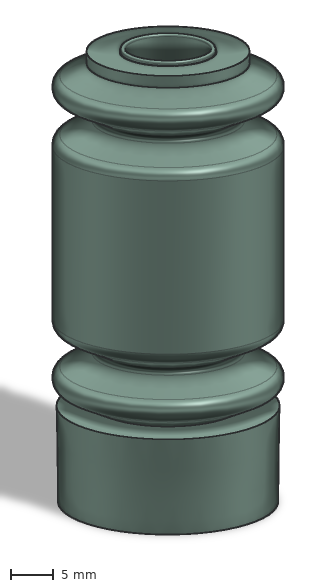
import cadquery as cq
import math

TOTAL_HEIGHT = 55.5
COLLAR_HEIGHT = 11.7
COLLAR_TOP_RISE = 0.2
FLANGE_TOP = 55.0
FLANGE_HEIGHT = 1.45
TUBE_RECESS_DEPTH = 0.1

BODY_DIAMETER = 27.0
COLLAR_DIAMETER = 26.0
COLLAR_FOOT_DIAMETER = 25.7
FLANGE_DIAMETER = 19.0
TUBE_DIAMETER = 11.1
TUBE_RECESS_DIAMETER = 11.3
BORE_DIAMETER = 10.0
SIDE_HOLE_DIAMETER = 8.5

FLANK_ANGLE = 25.5
CREST_RADIUS = 1.5
ROOT_RADIUS = 0.5
NECK_DIAMETER = 17.25
LOWER_RING_Z = 15.12
UPPER_RING_Z = 50.65

SIDE_HOLE_Z = 6.75

BODY_RADIUS = BODY_DIAMETER / 2
NECK_RADIUS = NECK_DIAMETER / 2
FLANK_SLOPE = math.tan(math.radians(FLANK_ANGLE))
NORMAL_X = math.sin(math.radians(FLANK_ANGLE))
NORMAL_Z = math.cos(math.radians(FLANK_ANGLE))

CREST_CENTRE_R = BODY_RADIUS - CREST_RADIUS
CREST_TANGENT_R = CREST_CENTRE_R + CREST_RADIUS * NORMAL_X
CREST_TANGENT_DZ = CREST_RADIUS * NORMAL_Z
ROOT_TANGENT_R = NECK_RADIUS + ROOT_RADIUS * (1 - NORMAL_X)
ROOT_TANGENT_DZ = ROOT_RADIUS * NORMAL_Z

ROOT_TO_CREST = ROOT_TANGENT_DZ + (CREST_TANGENT_R - ROOT_TANGENT_R) * FLANK_SLOPE + CREST_TANGENT_DZ


def add_ring(profile, ring_z):
    """Rounded ring crest, drawn upward after the flank below it."""
    return (
        profile.lineTo(CREST_TANGENT_R, ring_z - CREST_TANGENT_DZ)
        .threePointArc((BODY_RADIUS, ring_z), (CREST_TANGENT_R, ring_z + CREST_TANGENT_DZ))
    )


def add_groove(profile, root_z):
    """Inward flank and rounded groove root, drawn upward."""
    return (
        profile.lineTo(ROOT_TANGENT_R, root_z - ROOT_TANGENT_DZ)
        .threePointArc((NECK_RADIUS, root_z), (ROOT_TANGENT_R, root_z + ROOT_TANGENT_DZ))
    )


def add_barrel(profile, bottom_z, top_z):
    """Straight body between two rounded shoulders, drawn upward."""
    middle_angle = math.radians((90 - FLANK_ANGLE) / 2)
    middle_r = CREST_CENTRE_R + CREST_RADIUS * math.cos(middle_angle)
    middle_dz = CREST_RADIUS * math.sin(middle_angle)
    return (
        profile.lineTo(CREST_TANGENT_R, bottom_z - CREST_TANGENT_DZ)
        .threePointArc((middle_r, bottom_z - middle_dz), (BODY_RADIUS, bottom_z))
        .lineTo(BODY_RADIUS, top_z)
        .threePointArc((middle_r, top_z + middle_dz), (CREST_TANGENT_R, top_z + CREST_TANGENT_DZ))
    )


def make_body():
    """Collar, two rings, barrel and top flange as one revolved solid."""
    collar_radius = COLLAR_DIAMETER / 2
    flange_radius = FLANGE_DIAMETER / 2
    foot_z = COLLAR_HEIGHT + COLLAR_TOP_RISE
    flank_rise = foot_z - (LOWER_RING_Z - CREST_TANGENT_DZ)
    foot_radius = CREST_TANGENT_R + flank_rise / FLANK_SLOPE
    lower_root_z = LOWER_RING_Z + ROOT_TO_CREST
    upper_root_z = UPPER_RING_Z - ROOT_TO_CREST

    profile = (
        cq.Workplane("XZ")
        .lineTo(COLLAR_FOOT_DIAMETER / 2, 0)
        .lineTo(collar_radius, COLLAR_HEIGHT)
        .lineTo(foot_radius, foot_z)
    )
    profile = add_ring(profile, LOWER_RING_Z)
    profile = add_groove(profile, lower_root_z)
    profile = add_barrel(profile, lower_root_z + ROOT_TO_CREST, upper_root_z - ROOT_TO_CREST)
    profile = add_groove(profile, upper_root_z)
    profile = add_ring(profile, UPPER_RING_Z)
    profile = (
        profile.lineTo(flange_radius, FLANGE_TOP - FLANGE_HEIGHT)
        .lineTo(flange_radius, FLANGE_TOP)
        .lineTo(0, FLANGE_TOP)
        .close()
    )
    return profile.revolve(360, (0, 0, 0), (0, 1, 0))


def make_bore():
    """Through bore along the axis."""
    return cq.Workplane("XY").circle(BORE_DIAMETER / 2).extrude(TOTAL_HEIGHT)


def make_tube():
    """Inner tube that stands proud of the flange and ends in a half-round rim."""
    inner_radius = BORE_DIAMETER / 2
    outer_radius = TUBE_DIAMETER / 2
    rim_radius = (outer_radius - inner_radius) / 2
    rim_z = TOTAL_HEIGHT - rim_radius
    return (
        cq.Workplane("XZ")
        .moveTo(inner_radius, 0)
        .lineTo(outer_radius, 0)
        .lineTo(outer_radius, rim_z)
        .threePointArc((inner_radius + rim_radius, TOTAL_HEIGHT), (inner_radius, rim_z))
        .close()
        .revolve(360, (0, 0, 0), (0, 1, 0))
    )


def make_tube_recess():
    """Shallow recess in the flange top where the tube comes through."""
    return (
        cq.Workplane("XY", origin=(0, 0, FLANGE_TOP))
        .circle(TUBE_RECESS_DIAMETER / 2)
        .extrude(-TUBE_RECESS_DEPTH)
    )


def make_side_hole():
    """Radial hole through the +Y wall of the collar, reaching the bore."""
    return (
        cq.Workplane("XZ", origin=(0, 0, SIDE_HOLE_Z))
        .circle(SIDE_HOLE_DIAMETER / 2)
        .extrude(-COLLAR_DIAMETER)
    )


outer_body = make_body().cut(make_bore()).cut(make_tube_recess())
result = outer_body.union(make_tube()).cut(make_side_hole())